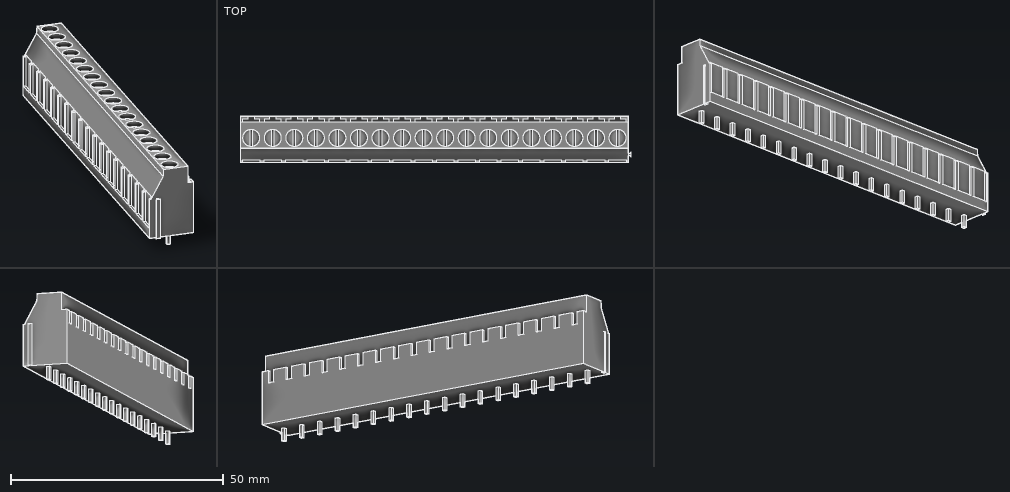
import cadquery as cq

pole_count = 18
pitch = 5.08
length = pole_count * pitch
depth = 11.0
pin_length = 3.1
total_height = 20.3
body_height = total_height - pin_length

shoulder_height = 10.0
shoulder_depth = 0.35
tower_front = 3.4
tower_draft = 0.1
tower_back = 9.6
slope_top = body_height - 1.75
back_ledge_height = body_height - 4.2

panel_width = 4.15
panel_recess = 0.6
panel_bottom = 2.5

screw_diameter = 4.0
screw_y = 5.85
screw_sink = 1.4
driver_slot_width = 0.6
driver_slot_depth = 0.7

marker_width = 4.0
marker_lip = 0.65
marker_mouth_width = 1.5
marker_depth = 3.0

dovetail_y = 1.95
dovetail_neck_width = 0.5
dovetail_neck_length = 0.3
dovetail_tip_width = 1.1
dovetail_depth = 0.65

pin_size = 0.8
pin_y = depth / 2

pole_centers = [(pole + 0.5) * pitch for pole in range(pole_count)]


def box_at(x_center, y_start, z_start, x_size, y_size, z_size):
    """Box centred on x_center, growing along +Y and +Z from its start values."""
    return (
        cq.Workplane("XY")
        .box(x_size, y_size, z_size, centered=(True, False, False))
        .translate((x_center, y_start, z_start))
    )


def make_housing():
    """Stepped cross-section in YZ, extruded over the whole row."""
    outline = [
        (0, 0),
        (depth, 0),
        (depth, back_ledge_height),
        (tower_back, back_ledge_height),
        (tower_back, body_height),
        (tower_front + tower_draft, body_height),
        (tower_front, slope_top),
        (shoulder_depth, shoulder_height),
        (0, shoulder_height),
    ]
    return cq.Workplane("YZ").polyline(outline).close().extrude(length)


def make_dovetail(x_start):
    """Upright dovetail from the underside to the shoulder: a straight neck, then a flare along +X."""
    x_flare = x_start + dovetail_neck_length
    x_end = x_start + dovetail_depth
    half_neck = dovetail_neck_width / 2
    half_tip = dovetail_tip_width / 2
    outline = [
        (x_start, dovetail_y - half_neck),
        (x_flare, dovetail_y - half_neck),
        (x_end, dovetail_y - half_tip),
        (x_end, dovetail_y + half_tip),
        (x_flare, dovetail_y + half_neck),
        (x_start, dovetail_y + half_neck),
    ]
    return cq.Workplane("XY").polyline(outline).close().extrude(shoulder_height)


def make_front_panel(x):
    """Cutter for the recessed panel, tall enough to clear the shoulder."""
    return box_at(x, 0, panel_bottom, panel_width, panel_recess, body_height - panel_bottom)


def make_screw_recess(x):
    """Cutter for the screw hole and the driver slot across the screw head."""
    head_height = body_height - screw_sink
    hole = (
        cq.Workplane("XY", origin=(x, screw_y, head_height))
        .circle(screw_diameter / 2)
        .extrude(screw_sink)
    )
    slot_bottom = head_height - driver_slot_depth
    bore = (
        cq.Workplane("XY", origin=(x, screw_y, slot_bottom))
        .circle(screw_diameter / 2)
        .extrude(driver_slot_depth)
    )
    slot_start = screw_y - screw_diameter / 2
    slot = box_at(x, slot_start, slot_bottom, driver_slot_width, screw_diameter, driver_slot_depth)
    return hole.union(slot.intersect(bore))


def make_marker_pocket(x):
    """Cutter for the T-shaped pocket, open to the top and through the back face."""
    floor = back_ledge_height - marker_depth
    lip_start = depth - marker_lip
    chamber = box_at(x, tower_back, floor, marker_width, lip_start - tower_back, marker_depth)
    mouth = box_at(x, lip_start, floor, marker_mouth_width, marker_lip, marker_depth)
    return chamber.union(mouth)


def make_pin(x):
    """Square solder pin hanging below the housing."""
    return box_at(x, pin_y - pin_size / 2, -pin_length, pin_size, pin_size, pin_length)


housing = make_housing().cut(make_dovetail(0)).union(make_dovetail(length))
for center in pole_centers:
    housing = housing.cut(make_front_panel(center))
    housing = housing.cut(make_screw_recess(center))
    housing = housing.cut(make_marker_pocket(center))
    housing = housing.union(make_pin(center))

result = housing